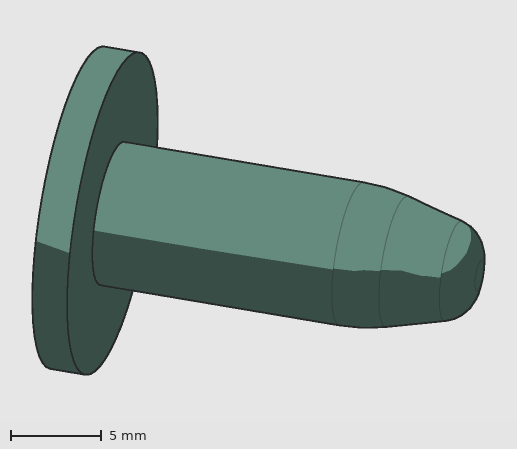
import cadquery as cq
import math

total_length = 23.0
head_diameter = 18.0
head_thickness = 2.0
shank_diameter = 8.0
shank_end = 15.7
shoulder_radius = 10.0
tip_radius = 2.0
cone_angle = math.radians(15)

head_radius = head_diameter / 2
shank_radius = shank_diameter / 2


def arc_point(center, radius, angle):
    """Point on an arc whose angle is measured from the radial direction toward +X."""
    return (
        center[0] + radius * math.sin(angle),
        center[1] + radius * math.cos(angle),
    )


shoulder_center = (shank_end, shank_radius - shoulder_radius)
shoulder_middle = arc_point(shoulder_center, shoulder_radius, cone_angle / 2)
cone_start = arc_point(shoulder_center, shoulder_radius, cone_angle)

tip_center_x = total_length - tip_radius
cone_end_x = tip_center_x + tip_radius * math.sin(cone_angle)
cone_end_radius = cone_start[1] - (cone_end_x - cone_start[0]) * math.tan(cone_angle)
tip_center = (tip_center_x, cone_end_radius - tip_radius * math.cos(cone_angle))
tip_middle = arc_point(tip_center, tip_radius, (cone_angle + math.pi / 2) / 2)

profile = (
    cq.Workplane("XY")
    .moveTo(0, 0)
    .lineTo(0, head_radius)
    .lineTo(head_thickness, head_radius)
    .lineTo(head_thickness, shank_radius)
    .lineTo(shank_end, shank_radius)
    .threePointArc(shoulder_middle, cone_start)
    .lineTo(cone_end_x, cone_end_radius)
    .threePointArc(tip_middle, (total_length, tip_center[1]))
    .lineTo(total_length, 0)
    .close()
)

result = profile.revolve(360, (0, 0, 0), (1, 0, 0))